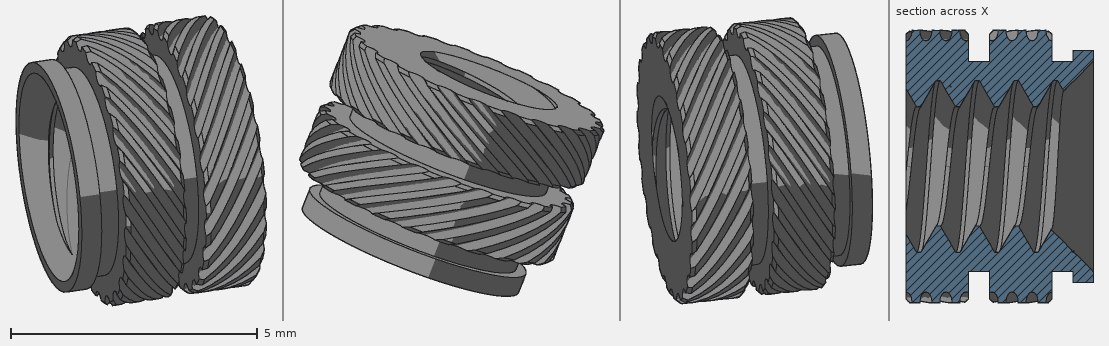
import cadquery as cq
import math


lip_length = 0.42
neck_length = 0.42
knurl_length = 1.275
first_knurl_start = lip_length + neck_length
total_length = first_knurl_start + knurl_length + neck_length + knurl_length

knurl_radius = 2.77
lip_radius = 2.36
neck_radius = 2.14
bore_radius = 1.21

groove_count = 24
groove_radius = 0.215
knurl_twist = 47.0
knurl_chamfer = 0.08

lead_in_radius = 2.14
lead_in_depth = lead_in_radius - bore_radius

thread_pitch = 0.79
thread_root_radius = 1.74
thread_root_width = 0.085
thread_start = 0.185
thread_angle = 60.0
flank_slope = math.tan(math.radians(thread_angle / 2))
thread_overlap = 0.055
thread_overrun = 2 * thread_pitch


def cylinder(radius, length):
    """Cylinder on the axis, rising from z = 0."""
    return cq.Workplane("XY").circle(radius).extrude(length)


def ring(outer_radius, inner_radius, length):
    """Hollow cylinder on the axis, rising from z = 0."""
    return cq.Workplane("XY").circle(outer_radius).circle(inner_radius).extrude(length)


def knurled_band():
    """Chamfered ring from z = 0 with right-hand helical grooves."""
    outer_rims = cq.selectors.RadiusNthSelector(-1)
    band = ring(knurl_radius, neck_radius, knurl_length)
    band = band.edges(outer_rims).chamfer(knurl_chamfer)
    grooves = (
        cq.Workplane("XY")
        .polarArray(knurl_radius, 0, 360, groove_count)
        .circle(groove_radius)
        .twistExtrude(knurl_length, knurl_twist, combine=False, clean=False)
    )
    return band.cut(grooves)


def lead_in_cone():
    """Conical countersink narrowing from the lip rim to the bore."""
    return cq.Workplane(cq.Solid.makeCone(lead_in_radius, bore_radius, lead_in_depth))


def thread_groove():
    """Helical V groove with a flat root, from the lead-in to beyond the flat end."""
    inner_radius = bore_radius - thread_overlap
    root_half = thread_root_width / 2
    mouth_half = root_half + (thread_root_radius - inner_radius) * flank_slope
    helix_height = total_length - thread_start + thread_overrun / 2
    helix = cq.Wire.makeHelix(thread_pitch, helix_height, bore_radius)
    groove = (
        cq.Workplane("XZ")
        .polyline([
            (inner_radius, -mouth_half),
            (thread_root_radius, -root_half),
            (thread_root_radius, root_half),
            (inner_radius, mouth_half),
        ])
        .close()
        .sweep(cq.Workplane(helix), isFrenet=True)
    )
    return groove.translate((0, 0, thread_start))


def threaded_core():
    """Neck with its lead-in, bore and thread.

    The thread is cut in a longer blank, which is then trimmed to length so that
    the groove runs out through the flat end.
    """
    blank_length = total_length + thread_overrun
    blank = ring(neck_radius, bore_radius, blank_length)
    blank = blank.cut(lead_in_cone()).cut(thread_groove())
    return blank.intersect(cylinder(lip_radius, total_length))


band = knurled_band()
first_band = band.translate((0, 0, first_knurl_start))
second_band = band.mirror("XY").translate((0, 0, total_length))
collars = ring(lip_radius, neck_radius, lip_length).add(first_band).add(second_band)
body = threaded_core().union(collars)

result = body.rotate((0, 0, 0), (1, 0, 0), -90)